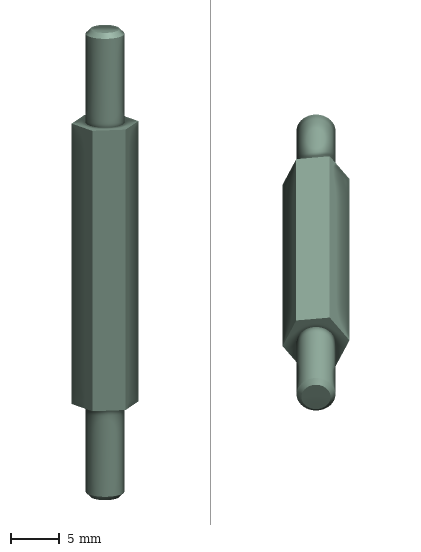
import cadquery as cq
import math

ACROSS_FLATS = 6.0
HEX_LENGTH = 30.0
STUD_DIAMETER = 4.0
STUD_LENGTH = 10.0
STUD_CHAMFER = 0.5

ACROSS_CORNERS = ACROSS_FLATS / math.cos(math.radians(30))
TOTAL_LENGTH = HEX_LENGTH + 2 * STUD_LENGTH


def hex_body():
    """Hexagonal prism centred on the origin, with corners on the X axis."""
    half_length = HEX_LENGTH / 2
    return cq.Workplane("XY").polygon(6, ACROSS_CORNERS).extrude(half_length, both=True)


def stud_rod():
    """Round rod running through the body, forming the stud at each end."""
    rod = cq.Workplane("XY").circle(STUD_DIAMETER / 2).extrude(TOTAL_LENGTH / 2, both=True)
    return rod.faces("|Z").edges().chamfer(STUD_CHAMFER)


result = hex_body().union(stud_rod())